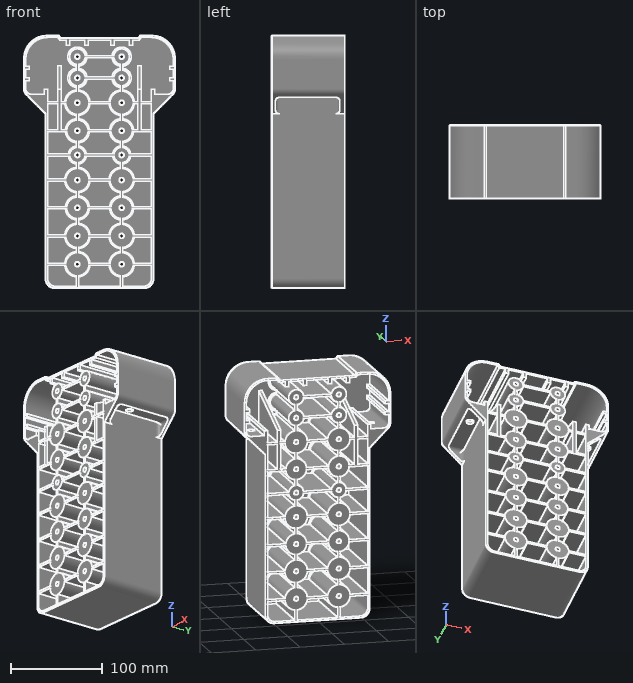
import cadquery as cq
import math


height = 275.5
head_width = 165.0
depth = 80.5

wall = 2.2
back_thickness = 2.8
back_chamfer = 1.0

head_half = head_width / 2
head_top_radius = 25.5
head_low_radius = 8.0
slope_angle = math.radians(45)
head_low_center_z = 217.2
recess_depth = 2.8
recess_half = 42.2
recess_slope = 2.2
floor_top_z = 211.7
floor_thickness = 3.5

body_half = 59.0
body_corner_radius = 10.2

front_web_thickness = 5.5
back_web_thickness = 4.7
web_fillet = 4.0

lip_top_z = 217.0
lip_inner_x = 56.5
lip_thickness = 3.9

floor_hole_diameter = 7.7
floor_hole_x = 67.5
floor_hole_y = 27.8

plate_x = 43.5
plate_thickness = 3.9
plate_bottom_z = 171.7
plate_front_z = lip_top_z
plate_back_z = 242.8

boss_spacing = 48.2
boss_x = boss_spacing / 2
boss_hole_diameter = 5.0
collar_height = 1.5
small_boss = (21.0, 17.0)
slim_boss = (19.5, 16.8)
large_boss = (27.5, 25.4)
medium_boss = (26.2, 23.5)
boss_rows = [
    (252.5, small_boss, False),
    (229.3, small_boss, False),
    (202.3, large_boss, True),
    (plate_bottom_z, medium_boss, True),
    (145.2, slim_boss, True),
    (118.0, large_boss, True),
    (87.5, medium_boss, True),
    (57.0, large_boss, True),
    (26.2, large_boss, True),
]
rib_thickness = 2.5
upright_rib_thickness = 2.8

side_rail_height = 3.9
top_rail_height = 5.5
top_rail_thickness = 3.9
top_rail_x = [14.0, 34.5]
side_rail_thickness = 3.3
side_rail_z = [240.3, 228.0]

cavity_depth = depth - back_thickness
diagonal = math.sqrt(0.5)


def block(x_min, x_max, y_min, y_max, z_min, z_max):
    """Axis-aligned box between the given limits."""
    box = cq.Workplane("XY").box(x_max - x_min, y_max - y_min, z_max - z_min, centered=False)
    return box.translate((x_min, y_min, z_min))


def front_sketch(y=0):
    """Workplane facing the front at the given Y; a negative extrusion goes toward the back."""
    return cq.Workplane("XZ", origin=(0, y, 0))


def trace_head_top(profile, inset):
    """Continue a profile from the axis along the head top and side, down to the low corner."""
    side = head_half - inset
    top = height - inset
    step_shift = inset / 2
    radius = head_top_radius - inset
    mid_x = head_half - head_top_radius + radius * diagonal
    mid_z = height - head_top_radius + radius * diagonal
    return (
        profile.lineTo(0, top - recess_depth)
        .lineTo(recess_half + step_shift, top - recess_depth)
        .lineTo(recess_half + recess_slope + step_shift, top)
        .lineTo(head_half - head_top_radius, top)
        .threePointArc((mid_x, mid_z), (side, height - head_top_radius))
        .lineTo(side, head_low_center_z)
    )


def make_outer():
    """Solid outline: body, head and the 45 degree slopes that join them."""
    low_center_x = head_half - head_low_radius
    slope_x = low_center_x + head_low_radius * math.cos(slope_angle)
    slope_z = head_low_center_z - head_low_radius * math.sin(slope_angle)
    arc_mid_angle = slope_angle / 2
    arc_mid_x = low_center_x + head_low_radius * math.cos(arc_mid_angle)
    arc_mid_z = head_low_center_z - head_low_radius * math.sin(arc_mid_angle)
    corner_offset = body_corner_radius * (1 - diagonal)
    profile = trace_head_top(front_sketch().moveTo(0, 0), 0)
    profile = (
        profile.threePointArc((arc_mid_x, arc_mid_z), (slope_x, slope_z))
        .lineTo(body_half, slope_z - (slope_x - body_half) * math.tan(slope_angle))
        .lineTo(body_half, body_corner_radius)
        .threePointArc((body_half - corner_offset, corner_offset), (body_half - body_corner_radius, 0))
        .close()
    )
    outer = profile.extrude(-depth)
    return outer.faces(">Y").edges("not <X").chamfer(back_chamfer)


def make_head_cavity():
    radius = head_low_center_z - floor_top_z
    side = head_half - wall
    corner_offset = radius * (1 - diagonal)
    profile = (
        trace_head_top(front_sketch().moveTo(0, floor_top_z), wall)
        .threePointArc((side - corner_offset, floor_top_z + corner_offset), (side - radius, floor_top_z))
        .close()
    )
    return profile.extrude(-cavity_depth)


def make_body_cavity():
    side = lip_inner_x
    radius = body_corner_radius - wall
    corner_offset = radius * (1 - diagonal)
    profile = (
        front_sketch()
        .moveTo(0, wall)
        .lineTo(0, lip_top_z)
        .lineTo(side, lip_top_z)
        .lineTo(side, wall + radius)
        .threePointArc((side - corner_offset, wall + corner_offset), (side - radius, wall))
        .close()
    )
    return profile.extrude(-cavity_depth)


def make_web_pocket():
    """Space under the head floor, between the two webs, rounded where the webs meet wall and floor."""
    top_z = floor_top_z - floor_thickness
    bottom_z = top_z - (head_half - body_half)
    pocket = block(
        body_half, head_half,
        front_web_thickness, depth - back_web_thickness,
        bottom_z, top_z,
    )
    return pocket.edges("(|Z and <X) or (|X and >Z)").fillet(web_fillet)


def make_boss(z, collar_diameter, boss_diameter):
    """Straight boss from the front to the back plate, with a low collar around its base."""
    boss = front_sketch().center(boss_x, z).circle(boss_diameter / 2).extrude(-cavity_depth)
    collar = (
        front_sketch(cavity_depth - collar_height)
        .center(boss_x, z)
        .circle(collar_diameter / 2)
        .extrude(-collar_height)
    )
    return boss.union(collar)


def make_cross_rib(z, reaches_wall):
    end_x = lip_inner_x if reaches_wall else boss_x
    return block(0, end_x, 0, cavity_depth, z - rib_thickness / 2, z + rib_thickness / 2)


def make_upright_rib():
    """Rib that joins the bosses of one column and runs down to the bottom wall."""
    top_z = boss_rows[0][0]
    return block(
        boss_x - upright_rib_thickness / 2, boss_x + upright_rib_thickness / 2,
        0, cavity_depth, wall / 2, top_z,
    )


def make_plate():
    return (
        cq.Workplane("YZ", origin=(plate_x - plate_thickness / 2, 0, 0))
        .polyline([
            (0, plate_bottom_z),
            (0, plate_front_z),
            (cavity_depth, plate_back_z),
            (cavity_depth, plate_bottom_z),
        ])
        .close()
        .extrude(plate_thickness)
    )


def make_lip():
    bottom_z = floor_top_z - floor_thickness
    return block(lip_inner_x, lip_inner_x + lip_thickness, 0, cavity_depth, bottom_z, lip_top_z)


def make_rails():
    ceiling_z = height - recess_depth - wall
    side_x = head_half - wall
    rails = []
    overlap = wall / 2
    for x in top_rail_x:
        left = x - top_rail_thickness / 2
        right = x + top_rail_thickness / 2
        rails.append(block(left, right, 0, cavity_depth, ceiling_z - top_rail_height, ceiling_z + overlap))
    for z in side_rail_z:
        low = z - side_rail_thickness / 2
        high = z + side_rail_thickness / 2
        rails.append(block(side_x - side_rail_height, side_x + overlap, 0, cavity_depth, low, high))
    return rails


half = make_outer().cut(make_head_cavity()).cut(make_body_cavity()).cut(make_web_pocket())
half = half.union(make_lip()).union(make_plate()).union(make_upright_rib())
for rail in make_rails():
    half = half.union(rail)
for z, (collar_diameter, boss_diameter), reaches_wall in boss_rows:
    half = half.union(make_cross_rib(z, reaches_wall))
    half = half.union(make_boss(z, collar_diameter, boss_diameter))

boss_holes = (
    front_sketch()
    .pushPoints([(boss_x, row[0]) for row in boss_rows])
    .circle(boss_hole_diameter / 2)
    .extrude(-depth)
)
floor_hole = (
    cq.Workplane("XY", origin=(floor_hole_x, floor_hole_y, floor_top_z - floor_thickness))
    .circle(floor_hole_diameter / 2)
    .extrude(floor_thickness)
)
half = half.cut(boss_holes).cut(floor_hole)

result = half.union(half.mirror("YZ")).clean()